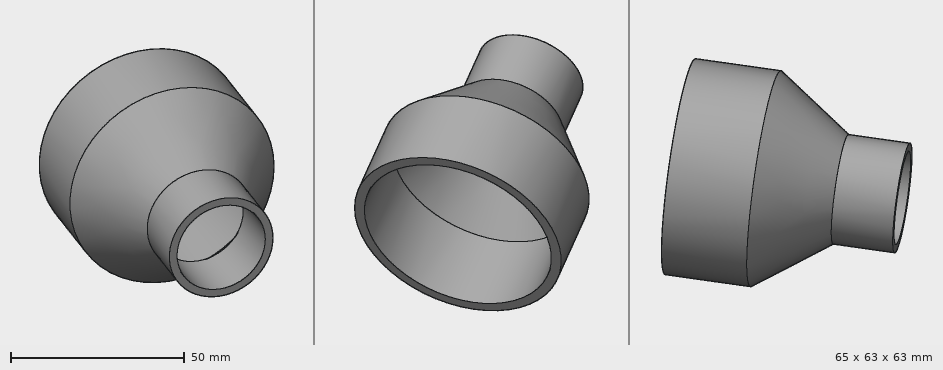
import cadquery as cq

large_outer_diameter = 63.0
large_bore_diameter = 57.0
small_outer_diameter = 32.0
small_bore_diameter = 27.2

large_end_length = 25.0
cone_length = 22.0
small_end_length = 18.0

cone_start = large_end_length
cone_end = cone_start + cone_length
total_length = cone_end + small_end_length


def stepped_cone(large_diameter, small_diameter):
    """Solid with two cylindrical ends joined by a cone, along +X."""
    large_radius = large_diameter / 2
    small_radius = small_diameter / 2
    return (
        cq.Workplane("XY")
        .moveTo(0, 0)
        .lineTo(0, large_radius)
        .lineTo(cone_start, large_radius)
        .lineTo(cone_end, small_radius)
        .lineTo(total_length, small_radius)
        .lineTo(total_length, 0)
        .close()
        .revolve(360, (0, 0, 0), (1, 0, 0))
    )


body = stepped_cone(large_outer_diameter, small_outer_diameter)
bore = stepped_cone(large_bore_diameter, small_bore_diameter)

result = body.cut(bore)